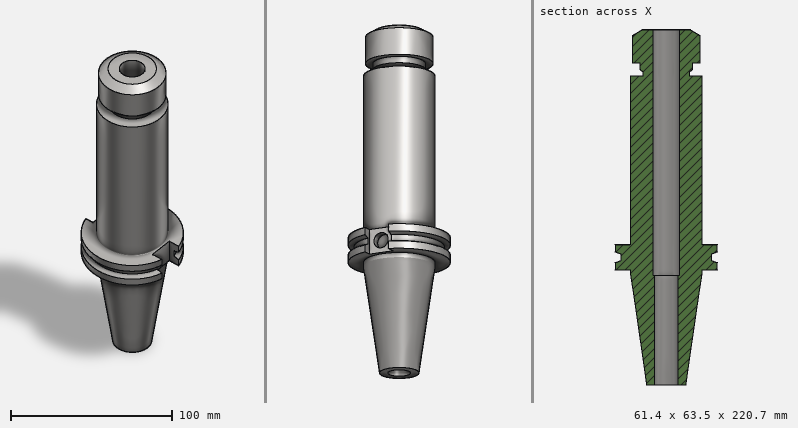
import cadquery as cq


gauge_radius = 44.45 / 2
taper_length = 68.25
taper_rate = 7 / 48
taper_tip_radius = gauge_radius - taper_length * taper_rate

flange_radius = 63.5 / 2
flange_bottom = 3.18
flange_thickness = 15.88
flange_top = flange_bottom + flange_thickness
flange_middle = flange_bottom + flange_thickness / 2
groove_radius = 28.2
groove_floor_width = 3.9
groove_mouth_width = 6.4

body_radius = gauge_radius
foot_fillet_radius = 0.8

projection = 152.4
nut_radius = 21.0
nut_face_radius = 15.0
nut_chamfer_height = 3.5
nut_height = 20.7
collar_radius = 16.4
collar_height = 4.1
neck_radius = 14.5
neck_cone_height = 1.6
neck_height = 2.3
nut_bottom = projection - nut_height
collar_bottom = nut_bottom - collar_height
neck_top = collar_bottom - neck_cone_height
body_top = neck_top - neck_height

collet_bore_radius = 8.0
drawbar_bore_radius = 7.0

slot_width = 16.38
left_slot_floor = 24.9
right_slot_floor = 23.1
slot_hole_diameter = 9.8
slot_hole_depth = 5.0


def revolve_profile(profile):
    return profile.close().revolve(360, (0, 0), (0, 1))


def taper_and_flange():
    outline = [
        (0, -taper_length),
        (taper_tip_radius, -taper_length),
        (gauge_radius, 0),
        (gauge_radius, flange_bottom),
        (flange_radius, flange_bottom),
        (flange_radius, flange_middle - groove_mouth_width / 2),
        (groove_radius, flange_middle - groove_floor_width / 2),
        (groove_radius, flange_middle + groove_floor_width / 2),
        (flange_radius, flange_middle + groove_mouth_width / 2),
        (flange_radius, flange_top),
        (0, flange_top),
    ]
    return revolve_profile(cq.Workplane("XZ").polyline(outline))


def body_and_nut():
    """Everything above the flange, starting with the concave fillet at the foot of the body."""
    above_fillet = [
        (body_radius, body_top),
        (neck_radius, body_top),
        (neck_radius, neck_top),
        (collar_radius, collar_bottom),
        (collar_radius, nut_bottom),
        (nut_radius, nut_bottom),
        (nut_radius, projection - nut_chamfer_height),
        (nut_face_radius, projection),
        (0, projection),
    ]
    profile = (
        cq.Workplane("XZ")
        .moveTo(0, flange_top)
        .lineTo(body_radius + foot_fillet_radius, flange_top)
        .radiusArc((body_radius, flange_top + foot_fillet_radius), foot_fillet_radius)
        .polyline(above_fillet, includeCurrent=True)
    )
    return revolve_profile(profile)


def cylinder(radius, bottom, top):
    return cq.Workplane("XY").workplane(offset=bottom).circle(radius).extrude(top - bottom)


def drive_slot(floor, side):
    """Square slot through the flange; side is -1 for -X and +1 for +X."""
    depth = flange_radius - floor
    centre_x = side * (floor + depth / 2)
    return cq.Workplane("XY").box(depth, slot_width, flange_thickness).translate((centre_x, 0, flange_middle))


def slot_hole():
    """Blind radial hole in the floor of the -X slot."""
    return (
        cq.Workplane("YZ", origin=(-left_slot_floor, 0, flange_middle))
        .circle(slot_hole_diameter / 2)
        .extrude(slot_hole_depth)
    )


result = (
    taper_and_flange()
    .union(body_and_nut())
    .cut(cylinder(drawbar_bore_radius, -taper_length, projection))
    .cut(cylinder(collet_bore_radius, 0, projection))
    .cut(drive_slot(left_slot_floor, -1))
    .cut(drive_slot(right_slot_floor, 1))
    .cut(slot_hole())
)